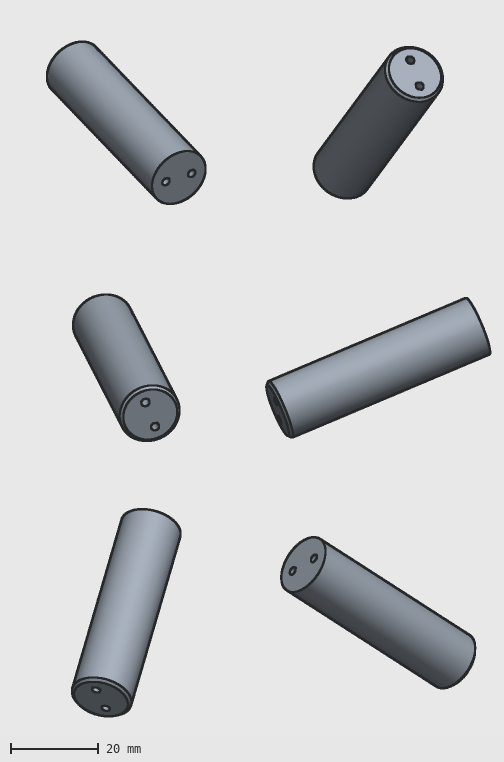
import cadquery as cq
import math

length = 50.0
diameter = 14.0
chamfer_size = 0.7

channel_count = 2
channel_diameter = 1.9
channel_circle_diameter = 6.7
helix_angle = 15.0
helix_pitch = math.pi * diameter / math.tan(math.radians(helix_angle))
channel_twist = 360.0 * length / helix_pitch
channel_start_angle = -channel_twist


def make_rod():
    rod = cq.Workplane("YZ").circle(diameter / 2).extrude(length)
    return rod.faces("<X").chamfer(chamfer_size)


def make_channel(start_angle):
    """Channel that winds about the rod axis from one end face to the other."""
    center = cq.Workplane("YZ").polarArray(channel_circle_diameter / 2, start_angle, 360, 1)
    return center.circle(channel_diameter / 2).twistExtrude(length, channel_twist)


result = make_rod()
for index in range(channel_count):
    result = result.cut(make_channel(channel_start_angle + index * 360 / channel_count))